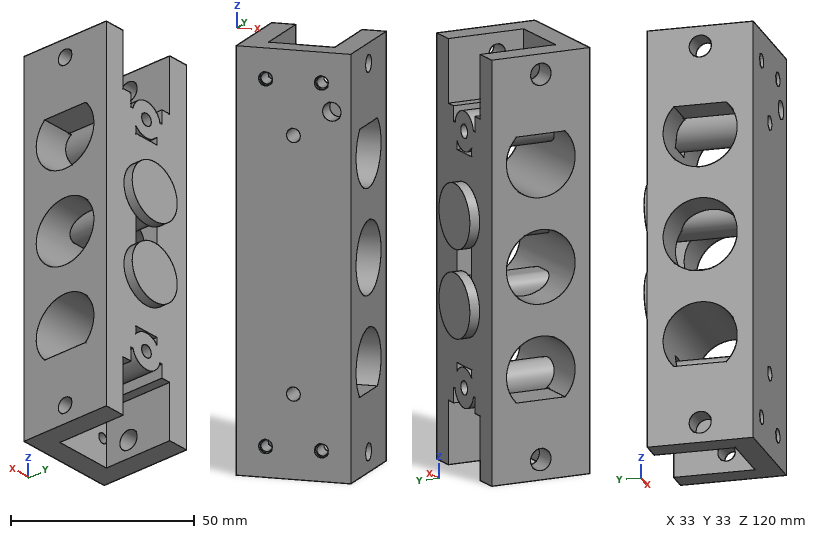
import cadquery as cq

length = 120.0
width = 33.0
depth = 30.0
wall = 7.0
channel_width = width - 2 * wall
shoulder_channel_width = 12.7
slot_width = 8.5
mid_z = length / 2
mid_y = depth / 2

window_diameter = 21.0
window_spacing = 30.0
window_flat_offset = 37.5

side_hole_offset = 54.2
side_hole_diameter = 6.2
side_hole_far_diameter = 4.9

post_inner_offset = 5.4
head_corner_radius = 4.0
head_height = window_diameter / 2 - post_inner_offset
button_diameter = 18.5
button_offset = 12.6
button_height = 3.0

peg_diameter = 11.4
peg_bore = 4.0
peg_offset = 36.1

shoulder_half_length = peg_offset + peg_diameter / 2

corner_hole_x = 8.0
corner_hole_offset = 51.4
corner_hole_diameter = 3.2
corner_counterbore_diameter = 4.0
corner_counterbore_depth = 1.0
blind_hole_x = 11.0
blind_hole_offset = 43.5
blind_hole_diameter = 5.3
blind_hole_depth = 6.0


def rod_y(diameter, x, z, start, end):
    """Cylinder along Y between two Y positions."""
    axis = cq.Vector(0, 1, 0)
    return cq.Workplane(cq.Solid.makeCylinder(diameter / 2, end - start, cq.Vector(x, start, z), axis))


def rod_x(diameter, z, start, end):
    """Cylinder along X at mid-depth between two X positions."""
    axis = cq.Vector(1, 0, 0)
    return cq.Workplane(cq.Solid.makeCylinder(diameter / 2, end - start, cq.Vector(start, mid_y, z), axis))


def channel_body():
    body = cq.Workplane("XY").box(width, depth, length, centered=(True, False, False))
    channel = cq.Workplane("XY").box(channel_width, depth, length, centered=(True, False, False))
    return body.cut(channel.translate((0, wall, 0)))


def channel_pad(side, gap, half_length):
    """Pad along one side wall that narrows the channel to the given gap."""
    thickness = (channel_width - gap) / 2
    pad = cq.Workplane("XY").box(thickness, depth - wall, 2 * half_length)
    center_x = side * (channel_width - thickness) / 2
    return pad.translate((center_x, (depth + wall) / 2, mid_z))


def window_cutter():
    cutter = rod_x(window_diameter, mid_z, -width / 2, width / 2)
    for side in (-1, 1):
        cutter = cutter.union(rod_x(window_diameter, mid_z + side * window_spacing, -width / 2, width / 2))
    limit = cq.Workplane("XY").box(width, depth, 2 * window_flat_offset)
    return cutter.intersect(limit.translate((0, mid_y, mid_z)))


def post_base(side):
    """Straight part of a post, reaching from its head to the middle of the end window."""
    start = post_inner_offset + head_height
    center_z = mid_z + side * (window_spacing + start) / 2
    return cq.Workplane("XY").box(slot_width, depth, window_spacing - start).translate((0, mid_y, center_z))


def post_head(side):
    """Block inside the middle window, rounded on its two edges nearest mid-length."""
    head = cq.Workplane("XY").box(shoulder_channel_width, depth, head_height)
    inner_face = "<Z" if side > 0 else ">Z"
    head = head.faces(inner_face).edges("|Y").fillet(head_corner_radius)
    return head.translate((0, mid_y, mid_z + side * (post_inner_offset + head_height / 2)))


result = channel_body()
for side in (-1, 1):
    result = result.union(channel_pad(side, shoulder_channel_width, shoulder_half_length))
    result = result.union(channel_pad(side, slot_width, window_flat_offset))
    result = result.union(post_base(side))
result = result.cut(window_cutter())

for side in (-1, 1):
    result = result.union(post_head(side))
    result = result.union(rod_y(button_diameter, 0, mid_z + side * button_offset, depth, depth + button_height))

    peg_z = mid_z + side * peg_offset
    result = result.union(rod_y(peg_diameter, 0, peg_z, 0, depth))
    result = result.cut(rod_y(peg_bore, 0, peg_z, 0, depth))

    side_hole_z = mid_z + side * side_hole_offset
    result = result.cut(rod_x(side_hole_diameter, side_hole_z, -width / 2, 0))
    result = result.cut(rod_x(side_hole_far_diameter, side_hole_z, 0, width / 2))

    corner_z = mid_z + side * corner_hole_offset
    for x in (-corner_hole_x, corner_hole_x):
        result = result.cut(rod_y(corner_hole_diameter, x, corner_z, 0, wall))
        result = result.cut(rod_y(corner_counterbore_diameter, x, corner_z, 0, corner_counterbore_depth))

result = result.cut(rod_y(blind_hole_diameter, blind_hole_x, mid_z + blind_hole_offset, 0, blind_hole_depth))